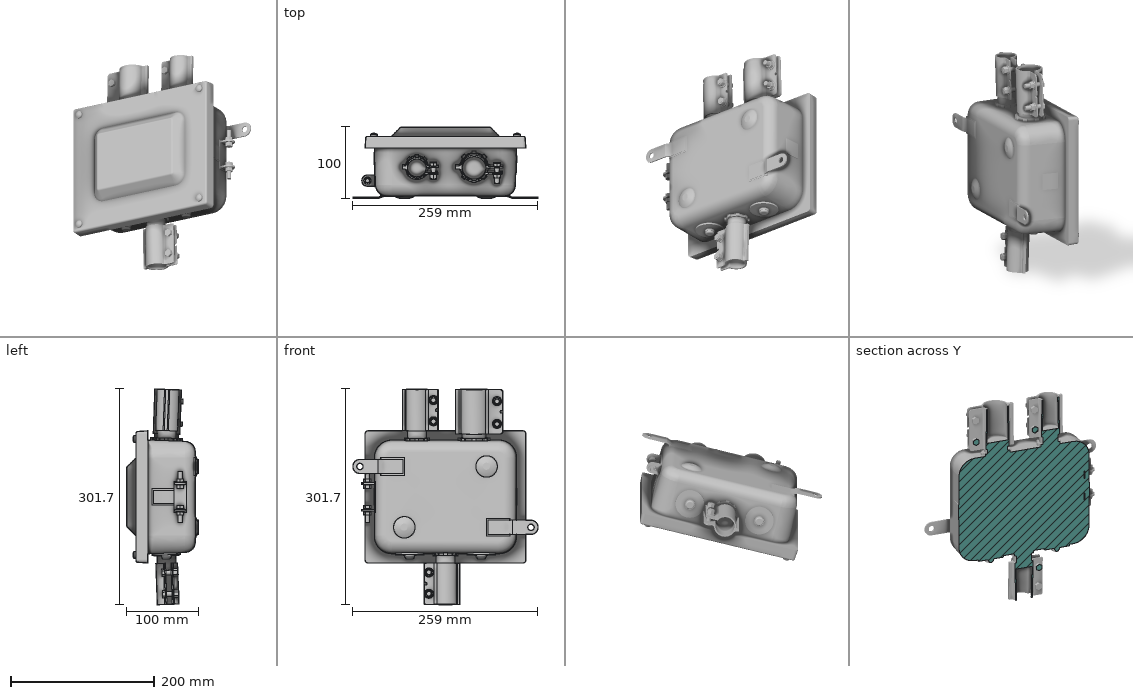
import cadquery as cq
import math


BOX_X = 199.0
BOX_Z = 159.0
BOX_DEPTH = 66.5
BOX_CORNER_R = 25.0
BOX_BOTTOM_R = 15.0
WALL_DRAFT = 2.0

COVER_X = 225.0
COVER_Z = 185.0
COVER_RIM = 16.5
COVER_DRAFT = 4.0
COVER_CORNER_R = 4.5
COVER_EDGE_R = 2.5
RAISED_X = 151.0
RAISED_Z = 109.0
RAISED_HEIGHT = 13.0
RAISED_CORNER_R = 15.5
RAISED_SLOPE = 45.0
RAISED_EDGE_R = 3.5
COVER_SCREW_X = 100.0
COVER_SCREW_Z = 81.0
COVER_SCREW_D = 10.0
COVER_SCREW_SIDE = 2.5
COVER_SCREW_HEIGHT = 4.5

FASTENER_X = 57.5
FASTENER_Z = 42.5
DOME_D = 30.0
DOME_TIP_D = 10.0
DOME_HEIGHT = 4.0
FOOT_WIDTH = 20.0
FOOT_THICKNESS = 2.0
FOOT_END_X = 129.5
FOOT_HOLE_D = 8.5
FOOT_INNER_X = 59.5
FOOT_BEND_START_X = 85.8
FOOT_BEND_END_X = 94.0
FOOT_BEND_R = 9.0
FOOT_PROUD = 0.7
WELD_WIDTH = 2.3
WELD_OUTER_X = 90.5
WELD_STEP = 0.4

LUG_X = -109.0
LUG_Y = -45.3
LUG_R = 8.0
LUG_Z = 17.5
LUG_THICKNESS = 2.5
BRACKET_HALF_Z = 21.5
BRACKET_THICKNESS = 1.2
BRACKET_WIDTH = 17.8
TAB_START_Y = -6.0
TAB_HALF_Z = 11.5
TAB_THICKNESS = 0.8
TAB_WELD_THICKNESS = 0.5
SIDE_PLATE_START_Y = -11.0
SIDE_PLATE_END_Y = -34.0
EARTH_BOLT_D = 6.0
EARTH_NUT_D = 10.4
EARTH_NUT_HEIGHT = 4.0
EARTH_HEAD_HEIGHT = 4.5
EARTH_WASHER_D = 10.0
EARTH_WASHER_THICKNESS = 1.0
EARTH_BOLT_END_Z = 35.8

PIPE_X = 40.0
PIPE_Y = -25.9
PIPE_END = 71.7
NIPPLE_OVERLAP = 10.0
EMBED = 2.0
EAR_THICKNESS = 1.6
EAR_NOTCH_R = 2.0
EAR_NOTCH_INSET = 1.3
FRONT_EAR_SETBACK = 0.8
RIDGE_Y = 1.3
FLARE_RISE = 3.0
CLAMP_WASHER_D = 12.5
CLAMP_WASHER_THICKNESS = 1.2
CLAMP_NUT_D = 10.6
CLAMP_HEAD_HEIGHT = 4.0
CLAMP_BOLT_D = 6.7
HEX_TURN = 30.0
LOCKNUT_HEIGHT = 3.6
LOCKNUT_LUGS = 8

SMALL_CLAMP = dict(
    bore=26.44,
    outer=30.6,
    start=14.0,
    ridge_reach=20.3,
    ridge_foot=16.7,
    ridge_width=4.0,
    ear_reach=30.0,
    ear_foot=16.3,
    ear_back=3.2,
    ear_front=-5.8,
    ear_corner=1.5,
    bolt_x=23.2,
    bolt_heights=(27.3, 57.1),
    nut_height=6.3,
    bolt_tail=0.7,
    locknut_d=31.5,
    locknut_lug_d=34.7,
    lug_width=5.0,
)
LARGE_CLAMP = dict(
    bore=33.25,
    outer=37.5,
    start=9.5,
    ridge_reach=26.0,
    ridge_foot=21.1,
    ridge_width=4.5,
    ear_reach=40.5,
    ear_foot=20.4,
    ear_back=2.6,
    ear_front=-5.8,
    ear_corner=4.0,
    bolt_x=32.0,
    bolt_heights=(23.7, 55.6),
    nut_height=5.0,
    bolt_tail=7.9,
    locknut_d=39.5,
    locknut_lug_d=44.5,
    lug_width=6.0,
)

PLUG_X = 50.0
PLUG_D = 40.0
PLUG_THICKNESS = 2.3
PLUG_WASHER_D = 14.0
PLUG_WASHER_HEIGHT = 5.3
PLUG_BUTTON_D = 12.5
PLUG_BUTTON_HEIGHT = 8.0
PLUG_BUTTON_R = 2.0


def slab(x_size, z_size, y_start, depth, corner_r, taper, toward):
    """Rounded block centred on the Y axis, tapering as it runs toward -Y or +Y."""
    plane = cq.Plane(origin=(0, y_start, 0), xDir=(1, 0, 0), normal=(0, toward, 0))
    outline = cq.Sketch().rect(x_size, z_size).vertices().fillet(corner_r)
    return cq.Workplane(plane).placeSketch(outline).extrude(depth, taper=taper)


def block(x0, x1, y0, y1, z0, z1):
    """Axis-aligned block between two corners."""
    return cq.Workplane("XY").box(x1 - x0, y1 - y0, z1 - z0, centered=False).translate((x0, y0, z0))


def rod(diameter, z0, z1):
    """Cylinder on the Z axis."""
    return cq.Workplane("XY").workplane(offset=z0).circle(diameter / 2).extrude(z1 - z0)


def hexagon(corner_d, z0, z1):
    """Hexagonal nut or bolt head on the Z axis."""
    return cq.Workplane("XY").workplane(offset=z0).polygon(6, corner_d).extrude(z1 - z0)


def make_box():
    body = slab(BOX_X, BOX_Z, 0, BOX_DEPTH, BOX_CORNER_R, WALL_DRAFT, -1)
    return body.faces("<Y").edges().fillet(BOX_BOTTOM_R)


def make_cover():
    rim = slab(COVER_X, COVER_Z, 0, COVER_RIM, COVER_CORNER_R, COVER_DRAFT, 1)
    rim = rim.faces(">Y").edges().fillet(COVER_EDGE_R)
    raised = slab(RAISED_X, RAISED_Z, COVER_RIM, RAISED_HEIGHT, RAISED_CORNER_R, RAISED_SLOPE, 1)
    raised = raised.faces(">Y").edges().fillet(RAISED_EDGE_R)
    cover = rim.union(raised)
    cover_screw = make_dome(COVER_SCREW_D / 2, 0, COVER_SCREW_SIDE, COVER_SCREW_HEIGHT)
    for x in (-COVER_SCREW_X, COVER_SCREW_X):
        for z in (-COVER_SCREW_Z, COVER_SCREW_Z):
            cover = cover.union(cover_screw.translate((x, COVER_RIM, z)))
    return cover


def make_dome(radius, tip_radius, side, height):
    """Round head along +Y: a short straight side, then a spherical cap cut flat at the tip radius."""
    rise = height - side
    drop = (radius**2 - tip_radius**2 - rise**2) / (2 * rise)
    sphere_r = math.hypot(radius, drop)
    mid_r = (radius + tip_radius) / 2
    mid_y = side + math.sqrt(sphere_r**2 - mid_r**2) - drop
    profile = cq.Workplane("XY").moveTo(0, -EMBED).lineTo(radius, -EMBED).lineTo(radius, side)
    profile = profile.threePointArc((mid_r, mid_y), (tip_radius, height))
    if tip_radius > 0:
        profile = profile.lineTo(0, height)
    return profile.close().revolve(360, (0, 0, 0), (0, 1, 0))


def make_dome_washer():
    """Domed washer on the box bottom, centred on the Y axis and facing -Y."""
    washer = make_dome(DOME_D / 2, DOME_TIP_D / 2, 0, DOME_HEIGHT)
    return washer.rotate((0, 0, 0), (0, 0, 1), 180).translate((0, -BOX_DEPTH, 0))


def make_foot():
    """Mounting strap on the +X side, centred on Z = 0: welded end, shallow bend, eye end."""
    inner_y = -BOX_DEPTH - FOOT_PROUD
    outer_y = -BOX_DEPTH - DOME_HEIGHT
    eye_x = FOOT_END_X - FOOT_WIDTH / 2
    lower = [
        (FOOT_INNER_X, inner_y),
        (FOOT_BEND_START_X, inner_y),
        (FOOT_BEND_END_X, outer_y),
        (FOOT_END_X, outer_y),
    ]
    upper = [(x, y + FOOT_THICKNESS) for x, y in reversed(lower)]
    strap = cq.Workplane("XY").polyline(lower + upper).close().extrude(FOOT_WIDTH / 2, both=True)
    for y in (inner_y, inner_y + FOOT_THICKNESS):
        bend = cq.selectors.NearestToPointSelector((FOOT_BEND_START_X, y, 0))
        strap = strap.edges(bend).fillet(FOOT_BEND_R)
    straight_part = (
        cq.Workplane("XZ")
        .center((FOOT_INNER_X + eye_x) / 2, 0)
        .rect(eye_x - FOOT_INNER_X, FOOT_WIDTH)
        .extrude(2 * BOX_DEPTH)
    )
    eye_end = cq.Workplane("XZ").center(eye_x, 0).circle(FOOT_WIDTH / 2).extrude(2 * BOX_DEPTH)
    eye_hole = cq.Workplane("XZ").center(eye_x, 0).circle(FOOT_HOLE_D / 2).extrude(2 * BOX_DEPTH)
    strap = strap.intersect(straight_part.union(eye_end)).cut(eye_hole)
    half_weld = FOOT_WIDTH / 2 + WELD_WIDTH
    weld_y = inner_y + WELD_STEP
    weld_start_x = FOOT_INNER_X - WELD_WIDTH
    weld = block(weld_start_x, WELD_OUTER_X, weld_y, weld_y + FOOT_THICKNESS, -half_weld, half_weld)
    return strap.union(weld)


def wall_x(y):
    """Half-width of the drafted box at depth y."""
    return BOX_X / 2 + y * math.tan(math.radians(WALL_DRAFT))


def make_wall_plate(start_y, end_y, half_z, thickness):
    """Flat plate lying on the drafted +X wall."""
    inner = [(wall_x(start_y) - EMBED, start_y), (wall_x(end_y) - EMBED, end_y)]
    outer = [(wall_x(end_y) + thickness, end_y), (wall_x(start_y) + thickness, start_y)]
    return cq.Workplane("XY").polyline(inner + outer).close().extrude(half_z, both=True)


def make_earth_bolt():
    """Bolt through the upper lug, with washers on both faces, head below and nut above."""
    lug_top = LUG_Z + LUG_THICKNESS
    washer_low = LUG_Z - EARTH_WASHER_THICKNESS
    washer_top = lug_top + EARTH_WASHER_THICKNESS
    bolt = rod(EARTH_BOLT_D, LUG_Z, EARTH_BOLT_END_Z)
    bolt = bolt.union(rod(EARTH_WASHER_D, washer_low, washer_top))
    bolt = bolt.union(hexagon(EARTH_NUT_D, washer_low - EARTH_HEAD_HEIGHT, washer_low))
    bolt = bolt.union(hexagon(EARTH_NUT_D, washer_top, washer_top + EARTH_NUT_HEIGHT))
    return bolt.translate((LUG_X, LUG_Y, 0))


def make_earth_bracket():
    start_y = LUG_Y + BRACKET_WIDTH / 2
    end_y = LUG_Y - BRACKET_WIDTH / 2
    back = make_wall_plate(start_y, end_y, BRACKET_HALF_Z, BRACKET_THICKNESS)
    weld = make_wall_plate(TAB_START_Y, start_y, TAB_HALF_Z, TAB_WELD_THICKNESS)
    tab = make_wall_plate(TAB_START_Y - WELD_WIDTH, start_y, TAB_HALF_Z - WELD_WIDTH, TAB_THICKNESS)
    bracket = back.union(weld).union(tab).rotate((0, 0, 0), (0, 1, 0), 180)
    lug = rod(2 * LUG_R, LUG_Z, LUG_Z + LUG_THICKNESS).translate((LUG_X, LUG_Y, 0))
    lug = lug.union(
        block(LUG_X, -wall_x(LUG_Y), LUG_Y - LUG_R, LUG_Y + LUG_R, LUG_Z, LUG_Z + LUG_THICKNESS)
    )
    upper = lug.union(make_earth_bolt())
    return bracket.union(upper).union(upper.mirror("XY"))


def make_side_plate():
    """Plate on the +X wall."""
    return make_wall_plate(SIDE_PLATE_START_Y, SIDE_PLATE_END_Y, TAB_HALF_Z, TAB_THICKNESS)


def make_locknut(size):
    """Ring with radial lugs, seated on the wall at Z = 0."""
    locknut = rod(size["locknut_d"], -EMBED, LOCKNUT_HEIGHT)
    half_width = size["lug_width"] / 2
    lug = block(0, size["locknut_lug_d"] / 2, -half_width, half_width, -EMBED, LOCKNUT_HEIGHT)
    for index in range(LOCKNUT_LUGS):
        locknut = locknut.union(lug.rotate((0, 0, 0), (0, 0, 1), index * 360 / LOCKNUT_LUGS))
    return locknut


def flared_foot(size, face_y, foot_x, side):
    """Two points that lead from an ear or ridge face at foot_x onto the ring, widening on one side."""
    ring_r = (size["bore"] + size["outer"]) / 4
    ring_y = face_y + side * FLARE_RISE
    ring_x = math.copysign(math.sqrt(ring_r**2 - ring_y**2), foot_x)
    return [(foot_x, face_y), (ring_x, ring_y)]


def clamp_wall(size, outline):
    """Upright wall with the given plan outline, as tall as the clamp."""
    start = size["start"]
    return cq.Workplane("XY").workplane(offset=start).polyline(outline).close().extrude(PIPE_END - start)


def make_ridge(size):
    """Blunt ridge on the -X side of the clamp, flared into the ring on both sides."""
    back = RIDGE_Y + size["ridge_width"] / 2
    front = RIDGE_Y - size["ridge_width"] / 2
    tip = -size["ridge_reach"]
    outline = flared_foot(size, front, -size["ridge_foot"], -1)[::-1]
    outline += [(tip, front), (tip, back)]
    outline += flared_foot(size, back, -size["ridge_foot"], 1)
    return clamp_wall(size, outline)


def make_ear(size, reach, gap_y, side):
    """Clamp ear on the +X side, flared into the ring on the face away from the gap."""
    outer_y = gap_y + side * EAR_THICKNESS
    outline = [(0, gap_y), (reach, gap_y), (reach, outer_y)]
    outline += flared_foot(size, outer_y, size["ear_foot"], side)
    return clamp_wall(size, outline).edges("|Y and >X").fillet(size["ear_corner"])


def make_front_ear(size):
    """Front ear: slightly shorter than the back one, with a notch halfway up its free edge."""
    reach = size["ear_reach"] - FRONT_EAR_SETBACK
    middle = (size["start"] + PIPE_END) / 2
    notch = cq.Workplane("XZ").center(reach - EAR_NOTCH_INSET, middle).circle(EAR_NOTCH_R)
    return make_ear(size, reach, size["ear_front"], -1).cut(notch.extrude(size["outer"]))


def make_clamp_bolt(size):
    """Ear bolt along -Y, centred on X = Z = 0: head at the back, washer, nut and tail at the front."""
    head_seat = size["ear_back"]
    nut_seat = size["ear_front"] - EAR_THICKNESS - CLAMP_WASHER_THICKNESS
    nut_end = nut_seat - size["nut_height"]
    bolt = rod(CLAMP_BOLT_D, nut_end - size["bolt_tail"], head_seat)
    bolt = bolt.union(hexagon(CLAMP_NUT_D, head_seat, head_seat + CLAMP_HEAD_HEIGHT))
    bolt = bolt.union(hexagon(CLAMP_NUT_D, nut_end, nut_seat))
    bolt = bolt.union(rod(CLAMP_WASHER_D, nut_seat, nut_seat + CLAMP_WASHER_THICKNESS))
    return bolt.rotate((0, 0, 0), (0, 0, 1), HEX_TURN).rotate((0, 0, 0), (1, 0, 0), -90)


def make_pipe_entry(size):
    """Nipple, locknut and two-eared clamp standing on the wall at Z = 0."""
    start = size["start"]
    back = size["ear_back"]
    front = size["ear_front"]
    gap_back = back - EAR_THICKNESS
    clamp = rod(size["outer"], start, PIPE_END).union(make_ridge(size))
    clamp = clamp.union(make_ear(size, size["ear_reach"], gap_back, 1)).union(make_front_ear(size))
    clamp = clamp.cut(rod(size["bore"], start, PIPE_END))
    clamp = clamp.cut(block(0, size["ear_reach"], front, gap_back, start, PIPE_END))
    for height in size["bolt_heights"]:
        clamp = clamp.union(make_clamp_bolt(size).translate((size["bolt_x"], 0, height)))
    nipple = rod(size["bore"], -EMBED, start + NIPPLE_OVERLAP)
    return clamp.union(nipple).union(make_locknut(size))


def make_plug():
    """Blanking disc with a washer and a rounded button, standing on the wall at Z = 0."""
    disc = rod(PLUG_D, -EMBED, PLUG_THICKNESS)
    button = rod(PLUG_BUTTON_D, 0, PLUG_BUTTON_HEIGHT).faces(">Z").edges().fillet(PLUG_BUTTON_R)
    washer = rod(PLUG_WASHER_D, 0, PLUG_WASHER_HEIGHT)
    return disc.union(washer).union(button)


def place_on_top_wall(item, x):
    """Tilts an item square to the drafted +Z wall and seats it there."""
    wall_z = BOX_Z / 2 + PIPE_Y * math.tan(math.radians(WALL_DRAFT))
    return item.rotate((0, 0, 0), (1, 0, 0), WALL_DRAFT).translate((x, PIPE_Y, wall_z))


def half_turn(item):
    """Turns an item half a turn about the Y axis."""
    return item.rotate((0, 0, 0), (0, 1, 0), 180)


result = make_box().union(make_cover())

foot = make_foot().translate((0, 0, -FASTENER_Z))
dome_washer = make_dome_washer().translate((FASTENER_X, 0, FASTENER_Z))
for item in (foot, dome_washer):
    result = result.union(item).union(half_turn(item))

result = result.union(make_earth_bracket()).union(make_side_plate())

result = result.union(place_on_top_wall(make_pipe_entry(SMALL_CLAMP), -PIPE_X))
result = result.union(place_on_top_wall(make_pipe_entry(LARGE_CLAMP), PIPE_X))
result = result.union(half_turn(place_on_top_wall(make_pipe_entry(SMALL_CLAMP), 0)))

for plug_x in (-PLUG_X, PLUG_X):
    result = result.union(half_turn(place_on_top_wall(make_plug(), plug_x)))